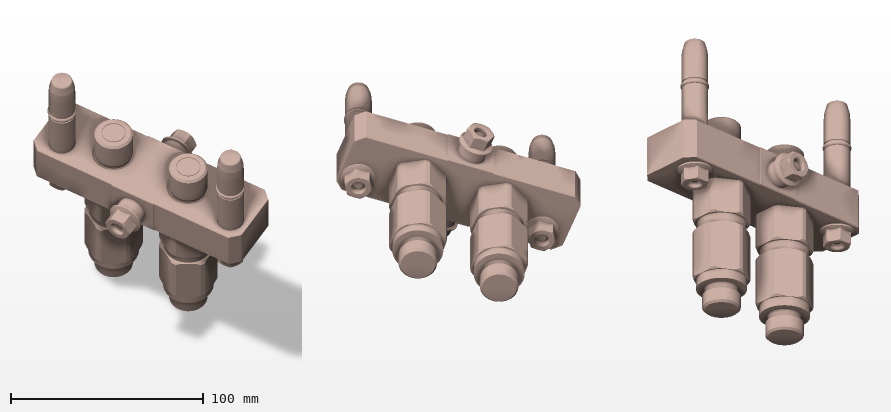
import cadquery as cq
import math

OVERALL_HEIGHT = 144.0
SIDES = (-1, 1)

PLATE_LENGTH = 125.0
PLATE_WIDTH = 37.3
PLATE_THICKNESS = 22.0
PLATE_BOTTOM = 69.8
PLATE_TOP = PLATE_BOTTOM + PLATE_THICKNESS
CORNER_CHAMFER = 4.9
EDGE_CHAMFER = 0.5
PAD_LENGTH = 25.2
PAD_RISE = 0.5
PAD_WIDTH = PLATE_WIDTH + 2 * PAD_RISE

HEX_CORNER_RATIO = 1 / math.cos(math.pi / 6)
NUT_HEIGHT = 8.8
NUT_ACROSS_FLATS = 13.1
NUT_ACROSS_CORNERS = NUT_ACROSS_FLATS * HEX_CORNER_RATIO
NUT_CHAMFER_HEIGHT = 0.7
FLANGE_RADIUS = 9.0
FLANGE_RIM = 0.9
FLANGE_HEIGHT = 2.0
BORE_RADIUS = 3.5
BORE_MOUTH_RADIUS = 4.0
BORE_DEPTH = 2.3
STUD_TIP_RADIUS = 2.3
STUD_TIP_CHAMFER = BORE_RADIUS - STUD_TIP_RADIUS

PIN_SPACING = 101.4
PIN_MIDPOINT_X = 1.7
PIN_Y = -7.9
PIN_RADIUS = 14.0 / 2
TAPER_START = 133.6
TAPER_MIDDLE = 138.8
TAPER_MIDDLE_RADIUS = 6.6
TIP_RADIUS = 5.5
TIP_FLAT_RADIUS = 4.5
TIP_ROUND_HEIGHT = 0.9
RING_CENTRE_Z = 118.5
RING_SECTION_RADIUS = 1.3
RING_OUTER_RADIUS = 7.5
RING_GROOVE_RADIUS = 6.5
RING_GROOVE_HEIGHT = 3.6

COUPLING_X = 22.5
BARREL_RADIUS = 10.2
COUNTERSINK = 1.2
BARREL_TOP = PLATE_TOP - COUNTERSINK
SPIGOT_RADIUS = 20.0 / 2
SPIGOT_TOP = 108.5
SPIGOT_CHAMFER = 1.2
SPIGOT_FOOT_RADIUS = 9.5
SPIGOT_FOOT_HEIGHT = 1.2
VALVE_RADIUS = 6.3
VALVE_GROOVE_WIDTH = 0.5
VALVE_GROOVE_DEPTH = 0.5
HEX_ACROSS_FLATS = 27.4
HEX_CORNER_RADIUS = 15.1
HEX_CHAMFER = 1.0
UPPER_HEX_BOTTOM = 50.4
LOWER_HEX_TOP = 45.0
LOWER_HEX_BOTTOM = 17.1
WAIST_RADIUS = 12.8
COLLAR_RADIUS = 13.2
COLLAR_BOTTOM = 12.0
NECK_RADIUS = 8.8
NECK_FLARE = 0.5
NECK_BOTTOM = 9.4
TAIL_TOP = 7.9

BOLT_Z = 80.0
BOLT_RADIUS = 7.5
BOLT_LENGTH = 69.5
BOLT_END_CHAMFER = 0.5
BOLT_HALF_SHANK = BOLT_LENGTH / 2 - NUT_HEIGHT


def revolve_profile(points):
    """Revolve (radius, height) points about the Z axis."""
    return cq.Workplane("XZ").polyline(points).close().revolve(360, (0, 0, 0), (0, 1, 0))


def make_nut():
    """Flanged nut seated on Z = 0 and growing upward, with the recessed stud end in its bore."""
    corner_radius = NUT_ACROSS_CORNERS / 2
    hexagon = cq.Workplane("XY").polygon(6, NUT_ACROSS_CORNERS).extrude(NUT_HEIGHT)
    envelope = revolve_profile([
        (0, 0),
        (corner_radius, 0),
        (corner_radius, NUT_HEIGHT - NUT_CHAMFER_HEIGHT),
        (NUT_ACROSS_FLATS / 2, NUT_HEIGHT),
        (0, NUT_HEIGHT),
    ])
    flange = revolve_profile([
        (0, 0),
        (FLANGE_RADIUS, 0),
        (FLANGE_RADIUS, FLANGE_RIM),
        (NUT_ACROSS_FLATS / 2, FLANGE_HEIGHT),
        (0, FLANGE_HEIGHT),
    ])
    stud_end = NUT_HEIGHT - BORE_DEPTH
    bore = revolve_profile([
        (0, stud_end),
        (STUD_TIP_RADIUS, stud_end),
        (BORE_RADIUS, stud_end - STUD_TIP_CHAMFER),
        (BORE_RADIUS, NUT_HEIGHT - (BORE_MOUTH_RADIUS - BORE_RADIUS)),
        (BORE_MOUTH_RADIUS, NUT_HEIGHT),
        (0, NUT_HEIGHT),
    ])
    return hexagon.intersect(envelope).union(flange).cut(bore)


def make_guide_pin():
    """Pin with a tapered tip and a sealing ring, standing on the Z axis and held by a nut below."""
    groove_top = RING_CENTRE_Z + RING_GROOVE_HEIGHT / 2
    groove_bottom = RING_CENTRE_Z - RING_GROOVE_HEIGHT / 2
    shank = (
        cq.Workplane("XZ")
        .moveTo(0, PLATE_BOTTOM)
        .lineTo(PIN_RADIUS, PLATE_BOTTOM)
        .lineTo(PIN_RADIUS, groove_bottom)
        .lineTo(RING_GROOVE_RADIUS, groove_bottom)
        .lineTo(RING_GROOVE_RADIUS, groove_top)
        .lineTo(PIN_RADIUS, groove_top)
        .lineTo(PIN_RADIUS, TAPER_START)
        .tangentArcPoint((TAPER_MIDDLE_RADIUS, TAPER_MIDDLE), relative=False)
        .lineTo(TIP_RADIUS, OVERALL_HEIGHT - TIP_ROUND_HEIGHT)
        .tangentArcPoint((TIP_FLAT_RADIUS, OVERALL_HEIGHT), relative=False)
        .lineTo(0, OVERALL_HEIGHT)
        .close()
        .revolve(360, (0, 0, 0), (0, 1, 0))
    )
    ring = cq.Workplane(cq.Solid.makeTorus(
        RING_OUTER_RADIUS - RING_SECTION_RADIUS,
        RING_SECTION_RADIUS,
        cq.Vector(0, 0, RING_CENTRE_Z),
    ))
    nut = make_nut().rotate((0, 0, 0), (1, 0, 0), 180).translate((0, 0, PLATE_BOTTOM))
    return shank.union(ring).union(nut)


def make_plate():
    """Chamfered block with side pads and its two guide pins, bored for the couplings and the bolt."""
    plate = (
        cq.Workplane("XY", origin=(0, 0, PLATE_BOTTOM))
        .rect(PLATE_LENGTH, PLATE_WIDTH)
        .extrude(PLATE_THICKNESS)
        .edges("|Z")
        .chamfer(CORNER_CHAMFER)
        .faces("<Y or >Y")
        .edges("|X")
        .chamfer(EDGE_CHAMFER)
    )
    pad = (
        cq.Workplane("XY", origin=(0, 0, PLATE_BOTTOM))
        .rect(PAD_LENGTH, PAD_WIDTH)
        .extrude(PLATE_THICKNESS)
        .edges("|X")
        .chamfer(EDGE_CHAMFER)
    )
    coupling_hole = revolve_profile([
        (0, PLATE_BOTTOM),
        (BARREL_RADIUS, PLATE_BOTTOM),
        (BARREL_RADIUS, BARREL_TOP),
        (BARREL_RADIUS + COUNTERSINK, PLATE_TOP),
        (0, PLATE_TOP),
    ])
    bolt_hole = (
        cq.Workplane("XZ", origin=(0, 0, BOLT_Z))
        .circle(BOLT_RADIUS)
        .extrude(PAD_WIDTH / 2, both=True)
    )
    plate = plate.union(pad).cut(bolt_hole)
    for side in SIDES:
        plate = plate.cut(coupling_hole.translate((side * COUPLING_X, 0, 0)))
        pin_x = PIN_MIDPOINT_X + side * PIN_SPACING / 2
        plate = plate.union(make_guide_pin().translate((pin_x, PIN_Y, 0)))
    return plate


def make_coupling_hex(bottom, top, chamfer_top):
    """Hexagon with corners on the Y axis, turned down at its corners and chamfered at its ends."""
    end_radius = HEX_CORNER_RADIUS - HEX_CHAMFER
    outline = [
        (0, bottom),
        (end_radius, bottom),
        (HEX_CORNER_RADIUS, bottom + HEX_CHAMFER),
    ]
    if chamfer_top:
        outline += [(HEX_CORNER_RADIUS, top - HEX_CHAMFER), (end_radius, top)]
    else:
        outline += [(HEX_CORNER_RADIUS, top)]
    outline += [(0, top)]
    hexagon = (
        cq.Workplane("XY", origin=(0, 0, bottom))
        .polygon(6, HEX_ACROSS_FLATS * HEX_CORNER_RATIO)
        .extrude(top - bottom)
        .rotate((0, 0, 0), (0, 0, 1), 30)
    )
    return hexagon.intersect(revolve_profile(outline))


def make_coupling():
    """Coupling on the Z axis: tail, two hexagons, a barrel inside the plate and a spigot above."""
    turned_body = revolve_profile([
        (0, 0),
        (SPIGOT_RADIUS - SPIGOT_CHAMFER, 0),
        (SPIGOT_RADIUS, SPIGOT_CHAMFER),
        (SPIGOT_RADIUS, TAIL_TOP),
        (NECK_RADIUS, NECK_BOTTOM),
        (NECK_RADIUS, COLLAR_BOTTOM - NECK_FLARE),
        (NECK_RADIUS + NECK_FLARE, COLLAR_BOTTOM),
        (COLLAR_RADIUS, COLLAR_BOTTOM),
        (COLLAR_RADIUS, LOWER_HEX_BOTTOM),
        (WAIST_RADIUS, LOWER_HEX_BOTTOM),
        (WAIST_RADIUS, PLATE_BOTTOM),
        (BARREL_RADIUS, PLATE_BOTTOM),
        (BARREL_RADIUS, BARREL_TOP),
        (SPIGOT_FOOT_RADIUS, BARREL_TOP),
        (SPIGOT_FOOT_RADIUS, PLATE_TOP),
        (SPIGOT_RADIUS, PLATE_TOP + SPIGOT_FOOT_HEIGHT),
        (SPIGOT_RADIUS, SPIGOT_TOP - SPIGOT_CHAMFER),
        (SPIGOT_RADIUS - SPIGOT_CHAMFER, SPIGOT_TOP),
        (0, SPIGOT_TOP),
    ])
    valve_groove = (
        cq.Workplane("XY", origin=(0, 0, SPIGOT_TOP - VALVE_GROOVE_DEPTH))
        .circle(VALVE_RADIUS)
        .circle(VALVE_RADIUS - VALVE_GROOVE_WIDTH)
        .extrude(VALVE_GROOVE_DEPTH)
    )
    lower_hex = make_coupling_hex(LOWER_HEX_BOTTOM, LOWER_HEX_TOP, True)
    upper_hex = make_coupling_hex(UPPER_HEX_BOTTOM, PLATE_BOTTOM, False)
    return turned_body.cut(valve_groove).union(lower_hex).union(upper_hex)


def make_cross_bolt():
    """Bolt with a nut at each end, built along Z and then laid along Y through the plate."""
    bolt = (
        cq.Workplane("XY")
        .circle(BOLT_RADIUS)
        .extrude(BOLT_HALF_SHANK, both=True)
        .faces("<Z or >Z")
        .chamfer(BOLT_END_CHAMFER)
    )
    top_nut = make_nut().translate((0, 0, BOLT_HALF_SHANK))
    bottom_nut = top_nut.mirror("XY")
    bolt = bolt.union(top_nut).union(bottom_nut)
    return bolt.rotate((0, 0, 0), (1, 0, 0), 90).translate((0, 0, BOLT_Z))


plate = make_plate()
couplings = [make_coupling().translate((side * COUPLING_X, 0, 0)) for side in SIDES]
cross_bolt = make_cross_bolt()

result = cq.Compound.makeCompound([
    plate.val(),
    *[coupling.val() for coupling in couplings],
    cross_bolt.val(),
])